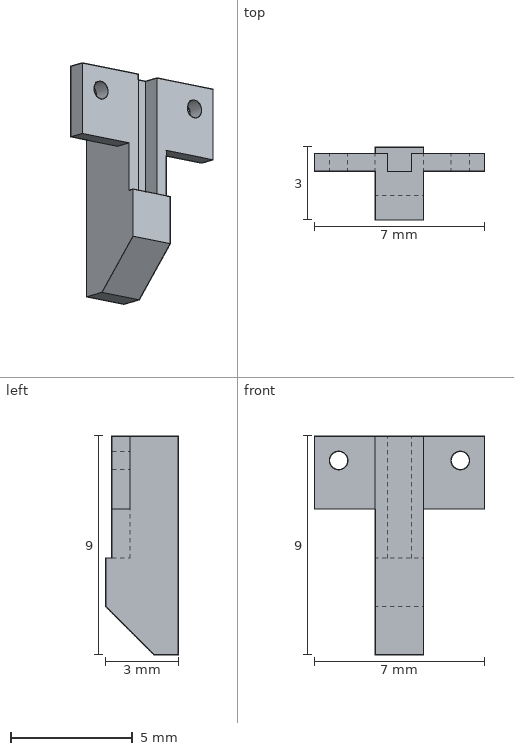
import cadquery as cq

height = 9.0
width = 7.0
depth = 3.0

stem_width = 2.0
lip_depth = 0.25
lip_bottom = 2.0
lip_top = 4.0
toe_depth = 1.0

wing_height = 3.0
wing_thickness = 0.75
hole_diameter = 0.75
hole_inset = 1.0

slot_width = 1.0
slot_bottom = lip_top

back = depth - lip_depth
wing_front = back - wing_thickness
wing_bottom = height - wing_height


def box(size_x, size_y, size_z, front, bottom):
    """Box centred on X, starting at the given front Y and bottom Z."""
    return (
        cq.Workplane("XY")
        .box(size_x, size_y, size_z, centered=(True, False, False))
        .translate((0, front, bottom))
    )


def make_stem():
    """Stem with a sloped toe and a small lip on its back."""
    side_profile = [
        (0, 0),
        (toe_depth, 0),
        (depth, lip_bottom),
        (depth, lip_top),
        (back, lip_top),
        (back, height),
        (0, height),
    ]
    return cq.Workplane("YZ").polyline(side_profile).close().extrude(stem_width / 2, both=True)


def make_wings():
    """Plate forming both wings, with one hole in each."""
    hole_x = width / 2 - hole_inset
    hole_z = height - hole_inset
    holes = (
        cq.Workplane("XZ", origin=(0, back, 0))
        .pushPoints([(-hole_x, hole_z), (hole_x, hole_z)])
        .circle(hole_diameter / 2)
        .extrude(wing_thickness)
    )
    return box(width, wing_thickness, wing_height, wing_front, wing_bottom).cut(holes)


slot = box(slot_width, wing_thickness, height - slot_bottom, wing_front, slot_bottom)

result = make_stem().union(make_wings()).cut(slot)